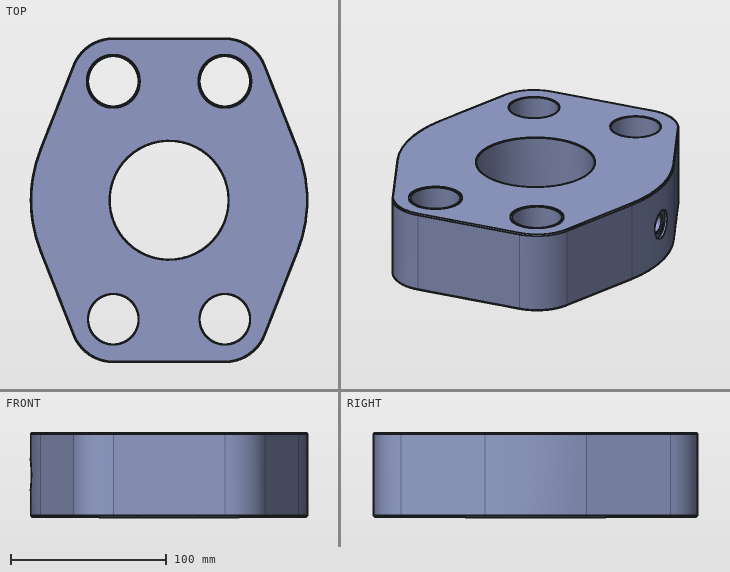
import cadquery as cq
import math

LENGTH = 208.0
WAIST_WIDTH = 177.8
WAIST_RADIUS = WAIST_WIDTH / 2
HEIGHT = 54.0
CORNER_RADIUS = 27.7
BOTTOM_CHAMFER = 1.0
TOP_CHAMFER_HEIGHT = 1.0
TOP_CHAMFER_INSET = 0.6

BORE_DIAMETER = 76.0
BORE_CHAMFER = 0.5
BOLT_DIAMETER = 32.0
BOLT_X = 35.8
BOLT_Y = LENGTH / 2 - CORNER_RADIUS
REAR_RECESS_DIAMETER = 34.3
REAR_RECESS_DEPTH = 0.5
FRONT_BOLT_CHAMFER = 0.5

PORT_DIAMETER = 11.5
PORT_MOUTH_DIAMETER = 13.3
PORT_SEAT_DIAMETER = 19.0
PORT_SEAT_DEPTH = 2.0
PORT_Z = HEIGHT / 2

GROOVE_INNER_DIAMETER = 83.5
GROOVE_OUTER_DIAMETER = 92.4
SEAL_PROTRUSION = 0.5
SEAL_SECTION_RADIUS = (GROOVE_OUTER_DIAMETER - GROOVE_INNER_DIAMETER) / 4
SEAL_MEAN_RADIUS = (GROOVE_OUTER_DIAMETER + GROOVE_INNER_DIAMETER) / 4
GROOVE_DEPTH = 2 * SEAL_SECTION_RADIUS - SEAL_PROTRUSION


def polar(center_x, center_y, radius, angle):
    """Point at a given angle (radians) on a circle."""
    return (center_x + radius * math.cos(angle), center_y + radius * math.sin(angle))


def flange_block():
    """Waisted plate whose straight flanks are tangent to the waist and corner arcs."""
    center_distance = math.hypot(BOLT_X, BOLT_Y)
    tangent_angle = math.atan2(BOLT_Y, BOLT_X) - math.acos((WAIST_RADIUS - CORNER_RADIUS) / center_distance)
    corner_mid_angle = (tangent_angle + math.pi / 2) / 2

    waist_x, waist_y = polar(0, 0, WAIST_RADIUS, tangent_angle)
    flank_x, flank_y = polar(BOLT_X, BOLT_Y, CORNER_RADIUS, tangent_angle)
    mid_x, mid_y = polar(BOLT_X, BOLT_Y, CORNER_RADIUS, corner_mid_angle)
    end_y = LENGTH / 2

    outline = (
        cq.Workplane("XY")
        .moveTo(waist_x, -waist_y)
        .threePointArc((WAIST_RADIUS, 0), (waist_x, waist_y))
        .lineTo(flank_x, flank_y)
        .threePointArc((mid_x, mid_y), (BOLT_X, end_y))
        .lineTo(-BOLT_X, end_y)
        .threePointArc((-mid_x, mid_y), (-flank_x, flank_y))
        .lineTo(-waist_x, waist_y)
        .threePointArc((-WAIST_RADIUS, 0), (-waist_x, -waist_y))
        .lineTo(-flank_x, -flank_y)
        .threePointArc((-mid_x, -mid_y), (-BOLT_X, -end_y))
        .lineTo(BOLT_X, -end_y)
        .threePointArc((mid_x, -mid_y), (flank_x, -flank_y))
        .close()
    )
    block = outline.extrude(HEIGHT).faces("<Z").edges().chamfer(BOTTOM_CHAMFER)
    return block.faces(">Z").edges().chamfer(TOP_CHAMFER_HEIGHT, TOP_CHAMFER_INSET)


def chamfered_hole(x, y, diameter, chamfer):
    """Vertical through-hole cutter with a 45 degree flare at the top face."""
    radius = diameter / 2
    return (
        cq.Workplane("XZ")
        .polyline([
            (0, 0),
            (radius, 0),
            (radius, HEIGHT - chamfer),
            (radius + chamfer, HEIGHT),
            (0, HEIGHT),
        ])
        .close()
        .revolve(360, (0, 0), (0, 1))
        .translate((x, y, 0))
    )


def bolt_recess(x, y):
    """Cutter for the very shallow flat recess around a rear bolt hole."""
    return (
        cq.Workplane("XY")
        .workplane(offset=HEIGHT - REAR_RECESS_DEPTH)
        .center(x, y)
        .circle(REAR_RECESS_DIAMETER / 2)
        .extrude(REAR_RECESS_DEPTH)
    )


def cut_bolt_holes(body):
    """Chamfered bolt holes on the -Y side, plain recessed bolt holes on the +Y side."""
    for x in (-BOLT_X, BOLT_X):
        body = body.cut(chamfered_hole(x, -BOLT_Y, BOLT_DIAMETER, FRONT_BOLT_CHAMFER))
        body = body.cut(cq.Workplane("XY").center(x, BOLT_Y).circle(BOLT_DIAMETER / 2).extrude(HEIGHT))
        body = body.cut(bolt_recess(x, BOLT_Y))
    return body


def side_port():
    """Cutter for the side port: shallow flat seat, countersink and hole into the bore."""
    mouth_radius = PORT_MOUTH_DIAMETER / 2
    hole_radius = PORT_DIAMETER / 2
    seat_radius = PORT_SEAT_DIAMETER / 2
    seat_x = -WAIST_RADIUS + PORT_SEAT_DEPTH
    countersink_end_x = seat_x + mouth_radius - hole_radius
    return (
        cq.Workplane("XY")
        .polyline([
            (-WAIST_RADIUS, 0),
            (-WAIST_RADIUS, seat_radius),
            (seat_x, seat_radius),
            (seat_x, mouth_radius),
            (countersink_end_x, hole_radius),
            (0, hole_radius),
            (0, 0),
        ])
        .close()
        .revolve(360, (0, 0), (1, 0))
        .translate((0, 0, PORT_Z))
    )


def seal_groove():
    """Cutter for the ring groove in the bottom face."""
    return (
        cq.Workplane("XY")
        .circle(GROOVE_OUTER_DIAMETER / 2)
        .circle(GROOVE_INNER_DIAMETER / 2)
        .extrude(GROOVE_DEPTH)
    )


def build_flange():
    body = flange_block()
    body = body.cut(chamfered_hole(0, 0, BORE_DIAMETER, BORE_CHAMFER))
    body = cut_bolt_holes(body)
    body = body.cut(side_port())
    return body.cut(seal_groove())


def build_seal_ring():
    """Round-section ring touching the floor and both walls of the groove."""
    return (
        cq.Workplane("XZ")
        .center(SEAL_MEAN_RADIUS, GROOVE_DEPTH - SEAL_SECTION_RADIUS)
        .circle(SEAL_SECTION_RADIUS)
        .revolve(360, (-SEAL_MEAN_RADIUS, 0), (-SEAL_MEAN_RADIUS, 1))
    )


flange = build_flange()
seal_ring = build_seal_ring()

result = cq.Compound.makeCompound([flange.val(), seal_ring.val()])